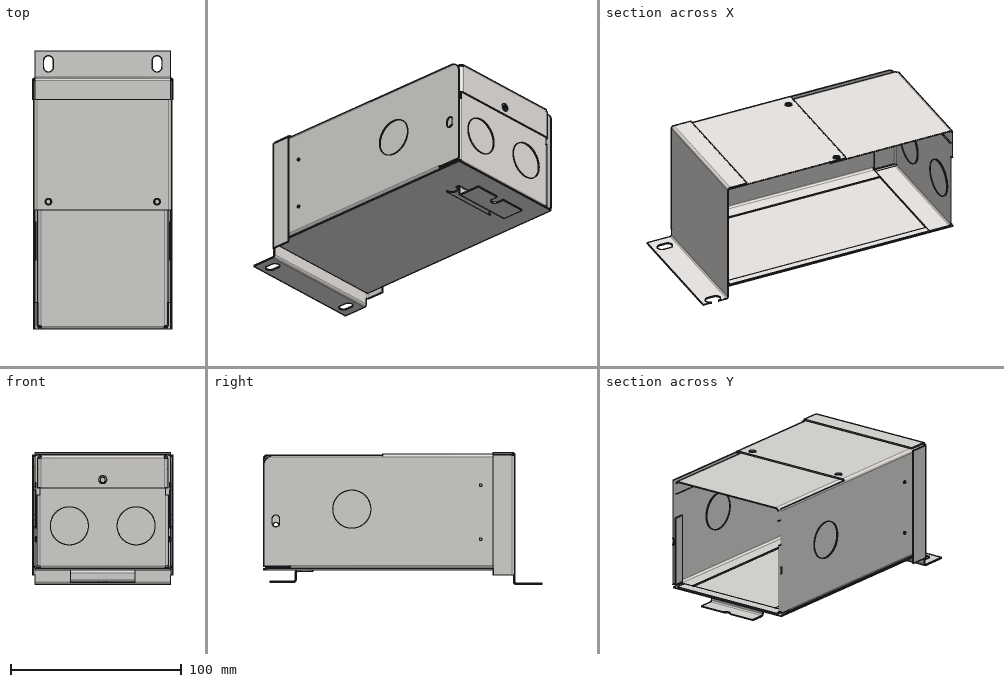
import cadquery as cq
import math


SHEET = 0.8
BEND = 1.6
WIDE_BEND = 2.0
KNOCKOUT_DIAMETER = 22.3
KNOCKOUT_SET_BACK = 0.5

OVERALL_WIDTH = 82.5
OVERALL_LENGTH = 163.0
OVERALL_HEIGHT = 77.5
CAP_BACK = 147.3
CAP_FRONT = 134.5
CAP_SIDE_BOTTOM = 5.5
CAP_WALL_WIDTH = 79.5
CAP_SIDE_TOP = OVERALL_HEIGHT - BEND
FOOT_SLOT_WIDTH = 5.5
FOOT_SLOT_LENGTH = 9.5
FOOT_SLOT_Y = 155.4
FASTENER_X = 31.8

SHELL_WIDTH = OVERALL_WIDTH - 2 * SHEET
SHELL_TOP = OVERALL_HEIGHT - SHEET
SHELL_BACK = CAP_BACK - BEND
SHELL_INNER_WIDTH = SHELL_WIDTH - 2 * SHEET
OPENING_BACK = 69.8
SIDE_FRONT_BOTTOM = 10.6
SIDE_CORNER_RADIUS = 6.5
BOTTOM_FLANGE_WIDTH = 9.8
PANEL_DEPTH = 15.5
SIDE_KNOCKOUT_Y = 51.7
SIDE_KNOCKOUT_Z = 44.2
SIDE_SLOT_WIDTH = 4.4
SIDE_SLOT_LENGTH = 6.8
SIDE_SLOT_Y = 7.2
SIDE_SLOT_Z = 37.3
DIMPLE_Y = 127.2
DIMPLE_HEIGHTS = (26.5, 58.2)
DIMPLE_DIAMETER = 1.6
DIMPLE_BUMP_DIAMETER = 3.1
DIMPLE_DEPTH = 0.5

PLATE_BOTTOM = 8.5
PLATE_TOP = PLATE_BOTTOM + SHEET
PLATE_WIDTH = CAP_WALL_WIDTH
STEP_WIDTH = 37.8
STEP_BACK = 29.0
STEP_WALL_FRONT = 18.5
STEP_FRONT = 3.9
STEP_BOTTOM = 1.3
STEP_SLOT_WIDTH = 5.2
STEP_SLOT_END = 10.6
STEP_NOTCH_Y = 25.1
STEP_NOTCH_RADIUS = 3.6

COVER_WIDTH = 76.2
COVER_TOP = SHELL_TOP - SHEET
COVER_BACK = 79.9
COVER_BOTTOM = 56.6
COVER_FLANGE = 8.2
CORNER_RELIEF = WIDE_BEND
SCREW_Y = 74.7
TOP_HOLE_DIAMETER = 3.9
TOP_PILOT_DIAMETER = 3.0
FRONT_HOLE_DIAMETER = 4.7
FRONT_HOLE_Z = 61.5

PANEL_WIDTH = 77.3
COVER_GAP = 0.2
PANEL_FRONT = SHEET + COVER_GAP
PANEL_TOP = 66.9
PANEL_FLANGE_TOP = 52.5
PANEL_FACE_WIDTH = PANEL_WIDTH - 2 * WIDE_BEND
PANEL_KNOCKOUT_X = 19.5
PANEL_KNOCKOUT_Z = 34.4
PANEL_SLOT_WIDTH = 2.8
PANEL_SLOT_LENGTH = 3.3
PANEL_SLOT_Z = 61.3
PANEL_HOLE_Z = 34.5
PANEL_HOLE_DIAMETER = 3.6


def box(x_range, y_range, z_range):
    """Block between two limits along each axis."""
    lows, highs = zip(x_range, y_range, z_range)
    size = [high - low for low, high in zip(lows, highs)]
    return cq.Workplane("XY").box(*size, centered=False).translate(lows)


def span(width):
    """Limits of a width centred on zero."""
    return (-width / 2, width / 2)


def bent_strip(plane, path, bend_radii):
    """Outline of a folded sheet that lies to the left of a path, with a bend at each inner corner.

    The path turns by right angles. Each bend has a given outer radius, which is positive for a left
    turn, where the path runs round the outside, and negative for a right turn.
    """
    directions = []
    for start, end in zip(path, path[1:]):
        length = math.dist(start, end)
        directions.append(((end[0] - start[0]) / length, (end[1] - start[1]) / length))

    def bend_arcs(offset):
        """Start, middle and end point of each bend, at an offset to the left of the path."""
        arcs = []
        for corner, before, after, radius in zip(path[1:], directions, directions[1:], bend_radii):
            turn = math.copysign(1, radius)
            path_radius = radius if turn > 0 else -radius - SHEET
            arc_radius = path_radius - turn * offset
            first = (-before[1] * turn, before[0] * turn)
            last = (-after[1] * turn, after[0] * turn)
            middle = ((first[0] + last[0]) / math.sqrt(2), (first[1] + last[1]) / math.sqrt(2))
            centre_x = corner[0] + path_radius * (first[0] + last[0])
            centre_y = corner[1] + path_radius * (first[1] + last[1])
            arcs.append([
                (centre_x - arc_radius * inward[0], centre_y - arc_radius * inward[1])
                for inward in (first, middle, last)
            ])
        return arcs

    def across_sheet(point, direction):
        return (point[0] - SHEET * direction[1], point[1] + SHEET * direction[0])

    strip = cq.Workplane(plane).moveTo(*path[0])
    for start, middle, end in bend_arcs(0):
        strip = strip.lineTo(*start).threePointArc(middle, end)
    strip = strip.lineTo(*path[-1]).lineTo(*across_sheet(path[-1], directions[-1]))
    for start, middle, end in reversed(bend_arcs(SHEET)):
        strip = strip.lineTo(*end).threePointArc(middle, start)
    return strip.lineTo(*across_sheet(path[0], directions[0])).close()


def fold_along_x(path, radii, width):
    """Sheet folded along a (Y, Z) path and centred across X."""
    return bent_strip("YZ", path, radii).extrude(width / 2, both=True)


def fold_along_y(path, radii, y_range):
    """Sheet folded along an (X, Z) path between two Y limits."""
    sheet = bent_strip("XZ", path, radii).extrude(y_range[0] - y_range[1])
    return sheet.translate((0, y_range[0], 0))


def fold_along_z(path, radii, z_range):
    """Sheet folded along an (X, Y) path between two heights."""
    sheet = bent_strip("XY", path, radii).extrude(z_range[1] - z_range[0])
    return sheet.translate((0, 0, z_range[0]))


def rod(axis, centre, diameter, length):
    """Cylinder starting at a centre and running along the given direction."""
    return cq.Workplane(cq.Solid.makeCylinder(diameter / 2, length, cq.Vector(*centre), cq.Vector(*axis)))


def add_knockout(sheet, centre, inward):
    """Push a disc of a sheet inward; the centre lies on the outer face."""
    recess = rod(inward, centre, KNOCKOUT_DIAMETER, KNOCKOUT_SET_BACK)
    inner_face = tuple(c + SHEET * d for c, d in zip(centre, inward))
    raised = rod(inward, inner_face, KNOCKOUT_DIAMETER, KNOCKOUT_SET_BACK)
    return sheet.cut(recess).union(raised)


def make_end_cap():
    """Rear wall with a top flange, two side flanges and a slotted foot."""
    half_width = OVERALL_WIDTH / 2
    wall_front = CAP_BACK - SHEET
    top_wall_foot = fold_along_x(
        [(CAP_FRONT, SHELL_TOP), (wall_front, SHELL_TOP), (wall_front, 0), (OVERALL_LENGTH, 0)],
        [-BEND, BEND],
        CAP_WALL_WIDTH,
    )
    sides = fold_along_z(
        [(half_width, CAP_FRONT), (half_width, CAP_BACK), (-half_width, CAP_BACK), (-half_width, CAP_FRONT)],
        [BEND, BEND],
        (CAP_SIDE_BOTTOM, CAP_SIDE_TOP),
    )
    slots = (
        cq.Workplane("XY")
        .pushPoints([(-FASTENER_X, FOOT_SLOT_Y), (FASTENER_X, FOOT_SLOT_Y)])
        .slot2D(FOOT_SLOT_LENGTH, FOOT_SLOT_WIDTH, 90)
        .extrude(SHEET)
    )
    return top_wall_foot.union(sides).cut(slots)


def make_shell():
    """Top and sides in one sheet, with the top cut away over the front cover."""
    half_width = SHELL_WIDTH / 2
    flange_end = half_width - BOTTOM_FLANGE_WIDTH
    flanged = fold_along_y(
        [(flange_end, PLATE_TOP), (half_width, PLATE_TOP), (half_width, SHELL_TOP),
         (-half_width, SHELL_TOP), (-half_width, PLATE_TOP), (-flange_end, PLATE_TOP)],
        [WIDE_BEND] * 4,
        (PANEL_DEPTH, SHELL_BACK),
    )
    unflanged = fold_along_y(
        [(half_width, SIDE_FRONT_BOTTOM), (half_width, SHELL_TOP),
         (-half_width, SHELL_TOP), (-half_width, SIDE_FRONT_BOTTOM)],
        [WIDE_BEND] * 2,
        (0, PANEL_DEPTH),
    )
    shell = flanged.union(unflanged)

    front_zone = (0, OPENING_BACK)
    above_cover = box(span(SHELL_WIDTH), front_zone, (COVER_TOP, SHELL_TOP))
    inside_bends = box(span(SHELL_INNER_WIDTH), front_zone, (SHELL_TOP - WIDE_BEND, SHELL_TOP))
    shell = shell.cut(above_cover).cut(inside_bends)

    corner_bottom = COVER_TOP - SIDE_CORNER_RADIUS
    corner_block = box(span(SHELL_WIDTH), (0, SIDE_CORNER_RADIUS), (corner_bottom, COVER_TOP))
    corner_centre = (-half_width, SIDE_CORNER_RADIUS, corner_bottom)
    corner_round = rod((1, 0, 0), corner_centre, 2 * SIDE_CORNER_RADIUS, SHELL_WIDTH)
    shell = shell.cut(corner_block.cut(corner_round))

    side_slot = (
        cq.Workplane("YZ")
        .center(SIDE_SLOT_Y, SIDE_SLOT_Z)
        .slot2D(SIDE_SLOT_LENGTH, SIDE_SLOT_WIDTH, 90)
        .extrude(half_width, both=True)
    )
    shell = shell.cut(side_slot)
    for x in (-FASTENER_X, FASTENER_X):
        shell = shell.cut(rod((0, 0, 1), (x, SCREW_Y, COVER_TOP), TOP_HOLE_DIAMETER, SHEET))

    for side in (-1, 1):
        inward = (-side, 0, 0)
        outer_x = side * half_width
        inner_x = side * SHELL_INNER_WIDTH / 2
        shell = add_knockout(shell, (outer_x, SIDE_KNOCKOUT_Y, SIDE_KNOCKOUT_Z), inward)
        for z in DIMPLE_HEIGHTS:
            shell = shell.union(rod(inward, (inner_x, DIMPLE_Y, z), DIMPLE_BUMP_DIAMETER, DIMPLE_DEPTH))
            shell = shell.cut(rod(inward, (outer_x, DIMPLE_Y, z), DIMPLE_DIAMETER, DIMPLE_DEPTH))
    return shell


def make_mounting_plate():
    """Flat bottom plate with a stepped foot under its front end."""
    plate = box(span(PLATE_WIDTH), (0, SHELL_BACK), (PLATE_BOTTOM, PLATE_TOP))
    foot_top = PLATE_BOTTOM - SHEET
    foot = fold_along_x(
        [(STEP_FRONT, STEP_BOTTOM), (STEP_WALL_FRONT + SHEET, STEP_BOTTOM),
         (STEP_WALL_FRONT + SHEET, foot_top), (STEP_BACK, foot_top)],
        [BEND, -BEND],
        STEP_WIDTH,
    )
    slot_centre_y = STEP_SLOT_END - STEP_SLOT_WIDTH / 2
    slot = box(span(STEP_SLOT_WIDTH), (STEP_FRONT, slot_centre_y), (STEP_BOTTOM, STEP_BOTTOM + SHEET))
    slot_end = rod((0, 0, 1), (0, slot_centre_y, STEP_BOTTOM), STEP_SLOT_WIDTH, SHEET)
    foot = foot.cut(slot).cut(slot_end)
    for x in span(STEP_WIDTH):
        foot = foot.cut(rod((0, 0, 1), (x, STEP_NOTCH_Y, foot_top), 2 * STEP_NOTCH_RADIUS, SHEET))
    return plate.union(foot)


def make_front_cover():
    """Top and front of one sheet, each with side flanges, open at the two upper front corners."""
    half_width = COVER_WIDTH / 2
    face_width = COVER_WIDTH - 2 * WIDE_BEND
    faces = fold_along_x(
        [(COVER_BACK, COVER_TOP), (0, COVER_TOP), (0, COVER_BOTTOM)],
        [BEND],
        face_width,
    )
    flange_bottom = COVER_TOP - COVER_FLANGE
    top_flanges = fold_along_y(
        [(half_width, flange_bottom), (half_width, COVER_TOP),
         (-half_width, COVER_TOP), (-half_width, flange_bottom)],
        [WIDE_BEND] * 2,
        (CORNER_RELIEF, COVER_BACK),
    )
    front_flanges = fold_along_z(
        [(-half_width, COVER_FLANGE), (-half_width, 0), (half_width, 0), (half_width, COVER_FLANGE)],
        [WIDE_BEND] * 2,
        (COVER_BOTTOM, COVER_TOP - CORNER_RELIEF),
    )
    cover = faces.union(top_flanges).union(front_flanges)
    cover = cover.cut(rod((0, 1, 0), (0, 0, FRONT_HOLE_Z), FRONT_HOLE_DIAMETER, SHEET))
    for x in (-FASTENER_X, FASTENER_X):
        cover = cover.cut(rod((0, 0, 1), (x, SCREW_Y, COVER_TOP - SHEET), TOP_PILOT_DIAMETER, SHEET))
    return cover


def make_front_panel():
    """Panel behind the cover, flanged at both sides and at the bottom."""
    half_width = PANEL_WIDTH / 2
    face = fold_along_x(
        [(PANEL_FRONT, PANEL_TOP), (PANEL_FRONT, PLATE_TOP), (PANEL_DEPTH, PLATE_TOP)],
        [BEND],
        PANEL_FACE_WIDTH,
    )
    flanges = fold_along_z(
        [(-half_width, PANEL_DEPTH), (-half_width, PANEL_FRONT),
         (half_width, PANEL_FRONT), (half_width, PANEL_DEPTH)],
        [WIDE_BEND] * 2,
        (PLATE_TOP + BEND, PANEL_FLANGE_TOP),
    )
    panel = face.union(flanges)

    screw_slot = (
        cq.Workplane("XZ")
        .center(0, PANEL_SLOT_Z)
        .slot2D(PANEL_SLOT_LENGTH, PANEL_SLOT_WIDTH, 90)
        .extrude(-PANEL_DEPTH)
    )
    side_hole = rod((1, 0, 0), (-half_width, SIDE_SLOT_Y, PANEL_HOLE_Z), PANEL_HOLE_DIAMETER, PANEL_WIDTH)
    panel = panel.cut(screw_slot).cut(side_hole)
    for x in (-PANEL_KNOCKOUT_X, PANEL_KNOCKOUT_X):
        panel = add_knockout(panel, (x, PANEL_FRONT, PANEL_KNOCKOUT_Z), (0, 1, 0))
    return panel


end_cap = make_end_cap()
shell = make_shell()
mounting_plate = make_mounting_plate()
front_cover = make_front_cover()
front_panel = make_front_panel()

result = cq.Compound.makeCompound([
    end_cap.solids().val(),
    shell.solids().val(),
    mounting_plate.solids().val(),
    front_cover.solids().val(),
    front_panel.solids().val(),
])